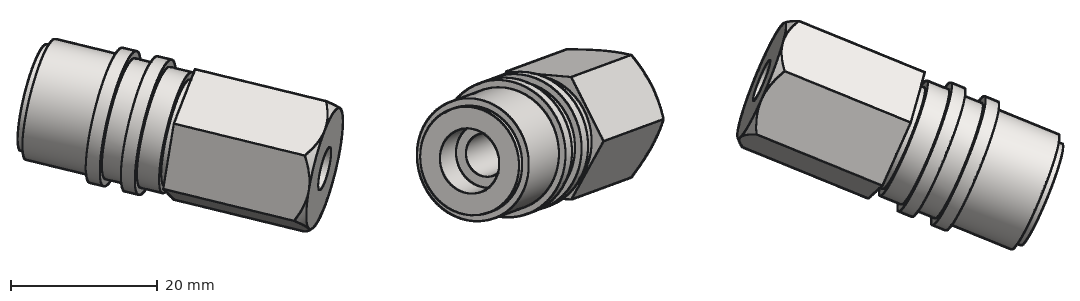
import cadquery as cq
import math

nose_length = 1.0
barrel_length = 19.5
neck_length = 1.0
hex_length = 20.0

nose_diameter = 15.0
barrel_diameter = 17.0
neck_diameter = 15.0
collar_diameter = 19.0
hex_sides = 6
hex_across_flats = 17.0

collar_width = 2.0
first_collar_start = 10.35
collar_pitch = 5.0
collar_count = 2

counterbore_diameter = 9.0
counterbore_depth = 5.0
through_diameter = 6.0

barrel_start = nose_length
neck_start = barrel_start + barrel_length
hex_start = neck_start + neck_length
total_length = hex_start + hex_length
hex_across_corners = hex_across_flats / math.cos(math.pi / hex_sides)
corner_height = (hex_across_corners - hex_across_flats) / 2


def cylinder(start, length, diameter):
    """Cylinder on the X axis that begins at x = start."""
    return cq.Workplane("YZ", origin=(start, 0, 0)).circle(diameter / 2).extrude(length)


def turned_body():
    body = cylinder(0, nose_length, nose_diameter)
    body = body.union(cylinder(barrel_start, barrel_length, barrel_diameter))
    body = body.union(cylinder(neck_start, neck_length, neck_diameter))
    for index in range(collar_count):
        collar_start = first_collar_start + index * collar_pitch
        body = body.union(cylinder(collar_start, collar_width, collar_diameter))
    return body


def hexagon():
    """Hexagon with corners on the Y axis; its far corners are turned off at 45 degrees."""
    prism = (
        cq.Workplane("YZ", origin=(hex_start, 0, 0))
        .polygon(hex_sides, hex_across_corners)
        .extrude(hex_length)
    )
    envelope = cylinder(hex_start, hex_length, hex_across_corners).faces(">X").chamfer(corner_height)
    return prism.intersect(envelope)


def stepped_bore():
    through_hole = cylinder(0, total_length, through_diameter)
    return through_hole.union(cylinder(0, counterbore_depth, counterbore_diameter))


result = turned_body().union(hexagon()).cut(stepped_bore())